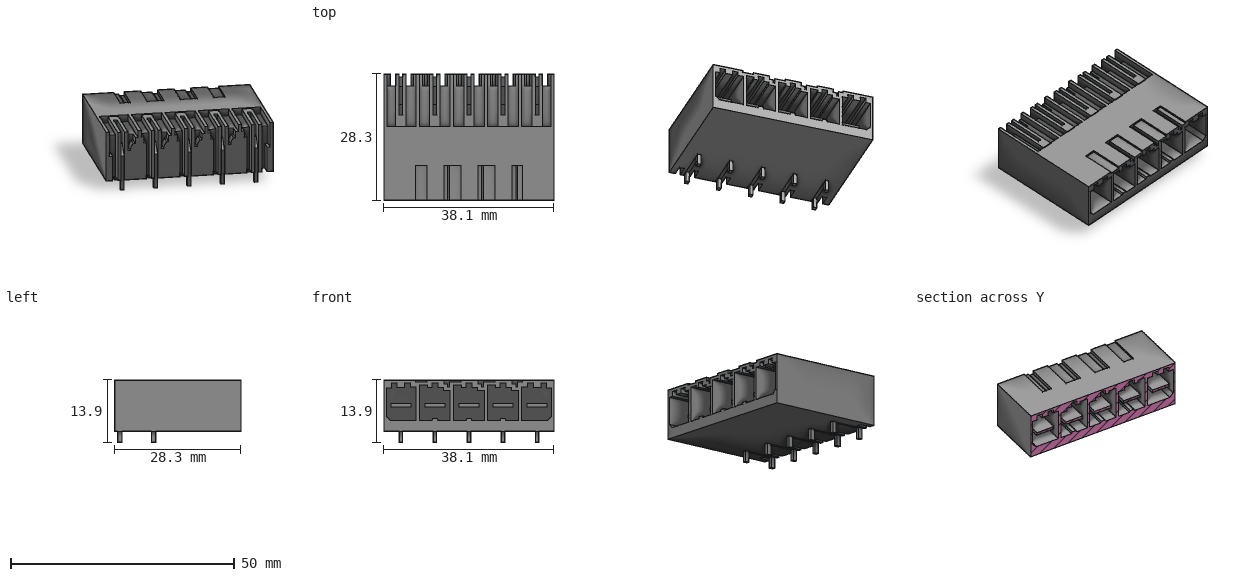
import cadquery as cq
import math

pole_count = 5
pole_pitch = 7.62
body_width = pole_count * pole_pitch
body_depth = 28.3
body_height = 11.45
leg_length = 2.5

cavity_depth = 15.25
cavity_half_width = 3.43
end_cavity_half_width = 3.25
cavity_floor_z = 2.4
cavity_low_top = body_height - 2.4
cavity_left_top = body_height - 1.15
cavity_main_top = body_height - 1.7
cavity_end_inner_top = body_height - 1.55
cavity_end_outer_top = body_height - 1.83
left_step_x = -1.65
right_step_x = 1.85
key_width = 1.3
key_top = body_height - 0.7
end_key_offset = 1.5
end_cavity_chamfer = 0.9
floor_rib_height = 0.42
floor_rib_base = 1.37
floor_rib_crest = 1.0

recess_length = 7.85
recess_depth = 0.42
recess_left = -0.55
recess_right = 2.02
last_recess_right = 0.55
latch_slot_left = -1.8
latch_slot_depth = 0.85
latch_groove_left = -0.95
latch_groove_depth = 1.55

bay_length = 11.75
bay_depth = 1.6
outer_wall = 0.72
divider_width = 0.75
rib_width = 2.32
rib_drop = 0.23
rear_notch_length = 2.65
outer_ledge_width = 0.72
outer_ledge_depth = 5.7

left_ledge_edge = -1.55
left_ledge_step = -1.0
right_ledge_step = 1.0
right_ledge_edge = 1.45
curve_end = 2.1
left_ledge_depth = 3.05
right_ledge_depth = 3.05
curve_radius = 2.1

contact_thickness = 0.8
blade_width = 4.45
blade_top = body_height - 5.25
blade_tip_y = 4.57
leg_width = 1.0
plate_rear_gap = 0.65
plate_length = 8.55
shoulder_length = 2.4
slope_length = 2.17
plate_top = body_height - 3.8

rear_y = body_depth
bay_front_y = rear_y - bay_length
notch_y = rear_y - rear_notch_length
plate_rear_y = rear_y - plate_rear_gap
plate_front_y = plate_rear_y - plate_length

pole_xs = [(i - (pole_count - 1) / 2) * pole_pitch for i in range(pole_count)]
boundary_xs = [x + pole_pitch / 2 for x in pole_xs[:-1]]


def box(x0, x1, y0, y1, z0, z1):
    return cq.Workplane("XY").box(x1 - x0, y1 - y0, z1 - z0, centered=False).translate((x0, y0, z0))


def along_y(outline, y0, y1):
    """Prism of an outline of (x, z) points between two Y positions."""
    return cq.Workplane("XZ", origin=(0, y0, 0)).polyline(outline).close().extrude(y0 - y1)


def middle_cavity(x):
    outline = [
        (-cavity_half_width, cavity_floor_z),
        (-floor_rib_base / 2, cavity_floor_z),
        (-floor_rib_crest / 2, cavity_floor_z + floor_rib_height),
        (floor_rib_crest / 2, cavity_floor_z + floor_rib_height),
        (floor_rib_base / 2, cavity_floor_z),
        (cavity_half_width, cavity_floor_z),
        (cavity_half_width, cavity_low_top),
        (right_step_x, cavity_low_top),
        (right_step_x, cavity_main_top),
        (key_width / 2, cavity_main_top),
        (key_width / 2, key_top),
        (-key_width / 2, key_top),
        (-key_width / 2, cavity_main_top),
        (left_step_x, cavity_main_top),
        (left_step_x, cavity_left_top),
        (-cavity_half_width, cavity_left_top),
    ]
    return along_y(outline, 0, cavity_depth).translate((x, 0, 0))


def end_cavity(x):
    """Cavity of an end pole; the chamfered corner lies at the outer wall."""
    outer = -end_cavity_half_width
    key_left = -end_key_offset - key_width / 2
    key_right = -end_key_offset + key_width / 2
    outline = [
        (outer, cavity_floor_z + end_cavity_chamfer),
        (outer + end_cavity_chamfer, cavity_floor_z),
        (cavity_half_width, cavity_floor_z),
        (cavity_half_width, cavity_end_inner_top),
        (-key_left, cavity_end_inner_top),
        (-key_left, key_top),
        (-key_right, key_top),
        (-key_right, cavity_main_top),
        (key_right, cavity_main_top),
        (key_right, key_top),
        (key_left, key_top),
        (key_left, cavity_end_outer_top),
        (outer, cavity_end_outer_top),
    ]
    if x > 0:
        outline = [(-px, pz) for px, pz in outline]
    return along_y(outline, 0, cavity_depth).translate((x, 0, 0))


def top_recess(x0, x1, depth):
    return box(x0, x1, 0, recess_length, body_height - depth, body_height)


def rear_bay(x):
    """Open-topped bay on both sides of, and slightly above, the contact rib."""
    left = max(x - pole_pitch / 2 + divider_width / 2, -body_width / 2 + outer_wall)
    right = min(x + pole_pitch / 2 - divider_width / 2, body_width / 2 - outer_wall)
    bay_floor = body_height - bay_depth
    bay = box(left, right, bay_front_y, rear_y, body_height - rib_drop, body_height)
    bay = bay.union(box(left, x - rib_width / 2, bay_front_y, rear_y, bay_floor, body_height))
    return bay.union(box(x + rib_width / 2, right, bay_front_y, rear_y, bay_floor, body_height))


def notch_cut(x0, x1, depth):
    return box(x0, x1, notch_y, rear_y, body_height - depth, body_height)


def rounded_ledge_cut(x):
    """Cut above the right-hand ledge, whose crest rolls off in a convex arc to a lower flat."""
    crest_z = body_height - right_ledge_depth
    arc_center_x = curve_end - curve_radius
    start_angle = math.acos((right_ledge_edge - arc_center_x) / curve_radius)
    low_z = crest_z - curve_radius * math.sin(start_angle)
    middle = (
        x + arc_center_x + curve_radius * math.cos(start_angle / 2),
        low_z + curve_radius * math.sin(start_angle / 2),
    )
    rib_side = x + pole_pitch / 2 - rib_width / 2
    return (
        cq.Workplane("XZ", origin=(0, notch_y, 0))
        .moveTo(x + right_ledge_edge, body_height)
        .lineTo(x + right_ledge_edge, crest_z)
        .threePointArc(middle, (x + curve_end, low_z))
        .lineTo(rib_side, low_z)
        .lineTo(rib_side, body_height)
        .close()
        .extrude(-rear_notch_length)
    )


def contact_shape(x):
    """Flat blade joined to an upright plate that carries two solder legs."""
    half = contact_thickness / 2
    shoulder_y = plate_front_y + shoulder_length
    slope_y = plate_rear_y - slope_length
    plate = (
        cq.Workplane("YZ", origin=(x - half, 0, 0))
        .moveTo(plate_front_y, -leg_length)
        .lineTo(plate_front_y, blade_top)
        .lineTo(shoulder_y, blade_top)
        .lineTo(shoulder_y, plate_top)
        .lineTo(slope_y, plate_top)
        .lineTo(plate_rear_y, plate_top - slope_length)
        .lineTo(plate_rear_y, -leg_length)
        .lineTo(plate_rear_y - leg_width, -leg_length)
        .lineTo(plate_rear_y - leg_width, 0)
        .lineTo(plate_front_y + leg_width, 0)
        .lineTo(plate_front_y + leg_width, -leg_length)
        .close()
        .extrude(contact_thickness)
    )
    blade = box(
        x - blade_width / 2, x + blade_width / 2, blade_tip_y, plate_front_y,
        blade_top - contact_thickness, blade_top,
    )
    return plate.union(blade)


def contact_opening(x):
    """Slot for the upright plate and the hole that carries the blade into the cavity."""
    half = contact_thickness / 2
    opening = box(x - half, x + half, plate_front_y, rear_y, 0, body_height)
    blade_hole = box(
        x - blade_width / 2, x + blade_width / 2, cavity_depth, plate_front_y,
        blade_top - contact_thickness, blade_top,
    )
    return opening.union(blade_hole)


housing = box(-body_width / 2, body_width / 2, 0, body_depth, 0, body_height)

for x in pole_xs[1:-1]:
    housing = housing.cut(middle_cavity(x))
for x in (pole_xs[0], pole_xs[-1]):
    housing = housing.cut(end_cavity(x))

for x in boundary_xs:
    right = last_recess_right if x == boundary_xs[-1] else recess_right
    housing = housing.cut(top_recess(x + recess_left, x + right, recess_depth))
for x in boundary_xs[1:]:
    housing = housing.cut(top_recess(x + latch_slot_left, x + latch_groove_left, latch_slot_depth))
    housing = housing.cut(top_recess(x + latch_groove_left, x + recess_left, latch_groove_depth))

for x in pole_xs:
    housing = housing.cut(rear_bay(x)).cut(contact_opening(x))

for x in boundary_xs:
    rib_right = x - pole_pitch / 2 + rib_width / 2
    housing = housing.cut(notch_cut(rib_right, x + left_ledge_edge, body_height))
    housing = housing.cut(notch_cut(x + left_ledge_edge, x + left_ledge_step, left_ledge_depth))
    housing = housing.cut(notch_cut(x + right_ledge_step, x + right_ledge_edge, right_ledge_depth))
    housing = housing.cut(rounded_ledge_cut(x))

for side in (-1, 1):
    wall = side * (body_width / 2 - outer_wall)
    ledge = wall - side * outer_ledge_width
    rib = side * (pole_xs[-1] + rib_width / 2)
    housing = housing.cut(notch_cut(min(wall, ledge), max(wall, ledge), outer_ledge_depth))
    housing = housing.cut(notch_cut(min(ledge, rib), max(ledge, rib), body_height))

contacts = [contact_shape(x) for x in pole_xs]

result = cq.Compound.makeCompound([housing.val(), *[contact.val() for contact in contacts]])